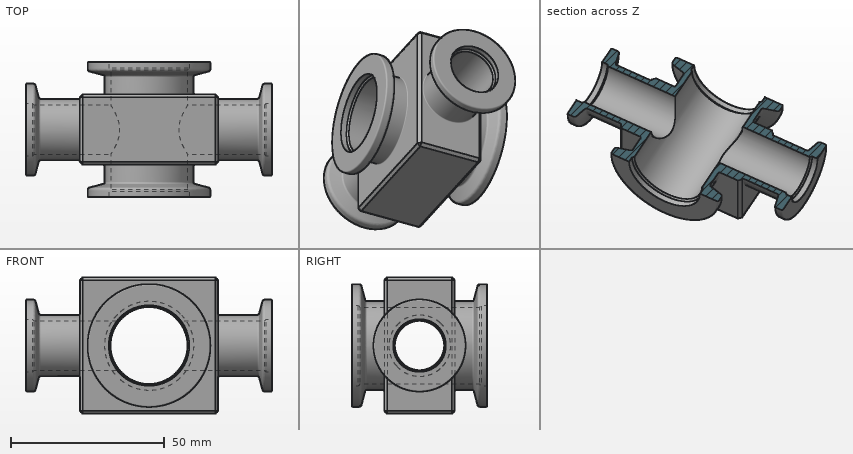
import cadquery as cq
import math

block_x = 45.0
block_y = 23.0
block_z = 44.5
block_chamfer = 1.0

small_span = 80.0
large_span = 44.0

small_flange_dia = 30.0
small_pipe_dia = 20.0
small_bore_dia = 16.0
small_seat_dia = 17.2

large_flange_dia = 40.0
large_pipe_dia = 29.0
large_bore_dia = 25.0
large_seat_dia = 26.2

rim_thickness = 3.0
flange_back_angle = 15.0
face_fillet = 0.5
rim_fillet = 1.0
neck_fillet = 0.55
root_fillet = 0.3
seat_depth = 2.0


def make_block():
    return cq.Workplane("XY").box(block_x, block_y, block_z).edges().chamfer(block_chamfer)


def make_port(base, face, flange_dia, pipe_dia):
    """Solid flanged pipe along Z, from the block surface at base to the flange face."""
    flange_radius = flange_dia / 2
    pipe_radius = pipe_dia / 2
    rim_back = face - rim_thickness
    neck = rim_back - (flange_radius - pipe_radius) * math.tan(math.radians(flange_back_angle))
    port = (
        cq.Workplane("XZ")
        .moveTo(0, base)
        .lineTo(pipe_radius + root_fillet, base)
        .radiusArc((pipe_radius, base + root_fillet), root_fillet)
        .lineTo(pipe_radius, neck)
        .lineTo(flange_radius, rim_back)
        .lineTo(flange_radius, face)
        .lineTo(0, face)
        .close()
        .revolve(360, (0, 0, 0), (0, 1, 0))
    )
    for edge_height, radius in ((neck, neck_fillet), (rim_back, rim_fillet), (face, face_fillet)):
        port = port.edges(cq.NearestToPointSelector((0, 0, edge_height))).fillet(radius)
    return port


def make_bore(face, bore_dia, seat_dia):
    """Half of a through bore along Z, widening through a 45 degree cone into a seat."""
    bore_radius = bore_dia / 2
    seat_radius = seat_dia / 2
    seat_bottom = face - seat_depth
    cone_bottom = seat_bottom - (seat_radius - bore_radius)
    return (
        cq.Workplane("XZ")
        .lineTo(bore_radius, 0)
        .lineTo(bore_radius, cone_bottom)
        .lineTo(seat_radius, seat_bottom)
        .lineTo(seat_radius, face)
        .lineTo(0, face)
        .close()
        .revolve(360, (0, 0, 0), (0, 1, 0))
    )


def both_ways(body, axis):
    """Lay a body built along +Z over to both sides by turning it about the given axis."""
    origin = (0, 0, 0)
    return [body.rotate(origin, axis, angle) for angle in (90, -90)]


x_axis = (1, 0, 0)
y_axis = (0, 1, 0)

small_port = make_port(block_x / 2, small_span / 2, small_flange_dia, small_pipe_dia)
large_port = make_port(block_y / 2, large_span / 2, large_flange_dia, large_pipe_dia)
small_bore = make_bore(small_span / 2, small_bore_dia, small_seat_dia)
large_bore = make_bore(large_span / 2, large_bore_dia, large_seat_dia)

result = make_block()
for port in both_ways(small_port, y_axis) + both_ways(large_port, x_axis):
    result = result.union(port)
for bore in both_ways(small_bore, y_axis) + both_ways(large_bore, x_axis):
    result = result.cut(bore)